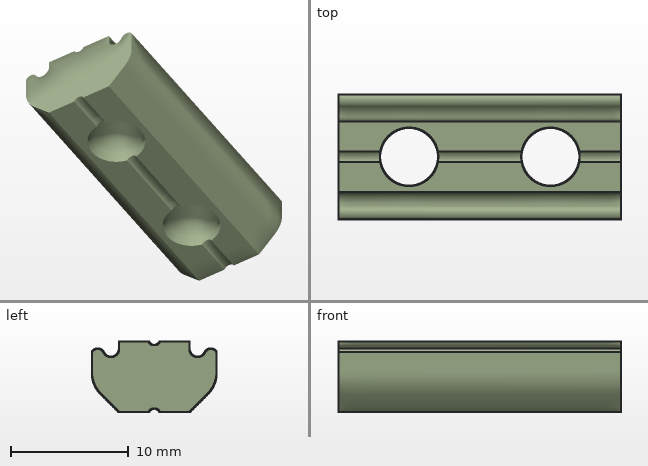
import cadquery as cq
import math

length = 24.0
width = 10.6
height = 6.0
flat_width = 6.0
edge_radius = 2.5

channel_radius = 0.675
channel_floor = 4.7

lip_radius = 0.575
lip_inset = 0.5

groove_radius = 0.5
groove_depth = 0.3

hole_diameter = 4.92
hole_spacing = 12.0

half_width = width / 2
half_flat = flat_width / 2


def point_on_circle(center, radius, angle):
    return (
        center[0] + radius * math.cos(angle),
        center[1] + radius * math.sin(angle),
    )


def make_half_profile():
    """Cross-section of the +Y half of the bar, drawn in (Y, Z)."""
    channel_center = (half_flat + channel_radius, channel_floor + channel_radius)

    lip_y = half_width - lip_inset
    center_distance = channel_radius + lip_radius
    center_drop = math.sqrt(center_distance**2 - (lip_y - channel_center[0]) ** 2)
    lip_center = (lip_y, channel_center[1] - center_drop)
    lip_top = lip_center[1] + lip_radius
    lip_end_height = lip_center[1] + math.sqrt(lip_radius**2 - lip_inset**2)
    drop_angle = math.asin(center_drop / center_distance)
    lip_start = point_on_circle(channel_center, channel_radius, -drop_angle)

    bevel_angle = math.radians(45)
    bevel_top = (half_width - half_flat) * math.tan(bevel_angle)
    edge_center = (
        half_width - edge_radius,
        bevel_top + edge_radius * math.tan(bevel_angle / 2),
    )
    edge_middle = point_on_circle(edge_center, edge_radius, -bevel_angle / 2)
    edge_end = point_on_circle(edge_center, edge_radius, -bevel_angle)

    return (
        cq.Workplane("YZ")
        .moveTo(0, 0)
        .lineTo(0, height)
        .lineTo(half_flat, height)
        .lineTo(half_flat, channel_center[1])
        .threePointArc((channel_center[0], channel_floor), lip_start)
        .threePointArc((lip_center[0], lip_top), (half_width, lip_end_height))
        .lineTo(half_width, edge_center[1])
        .threePointArc(edge_middle, edge_end)
        .lineTo(half_flat, 0)
        .close()
    )


def make_bar():
    half_bar = make_half_profile().extrude(length / 2, both=True)
    return half_bar.union(half_bar.mirror("XZ")).clean()


def make_grooves():
    center_offset = groove_radius - groove_depth
    return (
        cq.Workplane("YZ")
        .pushPoints([(0, -center_offset), (0, height + center_offset)])
        .circle(groove_radius)
        .extrude(length / 2, both=True)
    )


def make_holes():
    return (
        cq.Workplane("XY")
        .pushPoints([(-hole_spacing / 2, 0), (hole_spacing / 2, 0)])
        .circle(hole_diameter / 2)
        .extrude(height)
    )


result = make_bar().cut(make_grooves()).cut(make_holes())